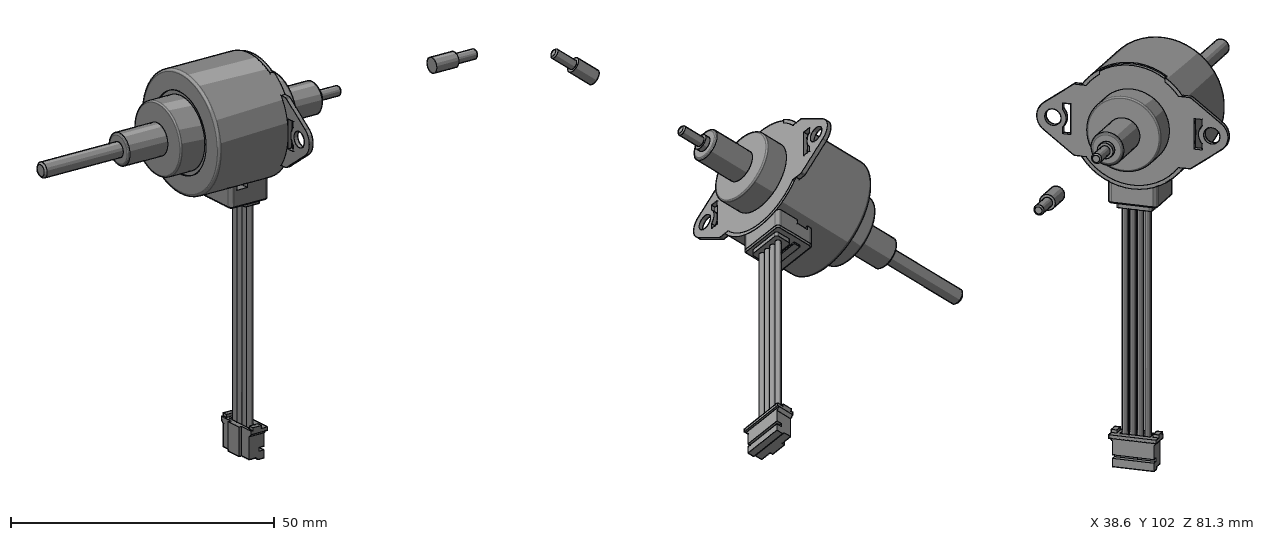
import cadquery as cq
import math


housing_radius = 25.0 / 2
housing_front = -17.1
housing_edge_fillet = 0.5
boss_radius = 15.0 / 2
rear_boss_end = 4.9
front_boss_end = -22.4
boss_edge_fillet = 0.3
bushing_radius = 6.6 / 2
bushing_length = 9.2
bushing_chamfer = 0.3
bushing_root_fillet = 0.4
recess_radius = 8.4
recess_depth = 0.3

plate_thickness = 0.9
plate_disc_radius = 11.7
tab_radius = 12.2
tab_half_width = 6.6
ear_hole_x = 16.0
ear_hole_radius = 1.6
ear_end_radius = 3.3
ear_half_height = 7.1
ear_slope = math.radians(36)
ear_corner_fillet = 0.5
window_inner_x = 12.4
window_outer_x = 14.1
window_half_height = 3.1
window_ring_radius = 2.7

shaft_radius = 3.2 / 2
shaft_front = -49.9
shaft_tip_radius = 1.0
shaft_tip_length = 5.0
shaft_rear = 20.1
shaft_front_chamfer = 0.4
shaft_tip_chamfer = 0.3
shaft_travel = 32.0
shaft_end_length = 10.2

block_half_width = 5.0
block_front = -9.0
block_bottom = -15.9
block_corner_fillet = 0.8
block_bottom_chamfer = 0.3
block_notch_front = -7.4
block_notch_rear = -5.0
block_notch_bottom = -12.3
outlet_half_width = 3.6
outlet_front = -4.5
outlet_rear = -0.9
outlet_bottom = -16.9
outlet_corner_fillet = 0.5
nub_front = -6.8
nub_rear = -5.4
nub_bottom = -16.3
wire_count = 4
wire_pitch = 1.5
wire_radius = 0.6
wire_y = -2.4

connector_top = -62.3
connector_bottom = -68.3
connector_half_width = 4.2
connector_front = -4.0
connector_rear = -0.5
flange_half_width = 4.8
flange_rear = -0.1
flange_edge_bottom = -63.0
flange_taper_bottom = -63.6
rib_half_width = 1.7
rib_front = -4.6
lip_front = -1.9
lip_bottom = housing_radius - 81.3
lip_taper = 0.4
latch_depth = 1.1
latch_bottom = -67.1
latch_top = -66.4
socket_half_width = 3.1
socket_front = -3.4
socket_rear = -1.5
socket_floor = -62.9
pad_inner_x = 3.7
pad_front = -3.6
pad_rear = -1.5
pad_top = -61.7


def box(x_range, y_range, z_range):
    """Box between pairs of opposite corner coordinates."""
    size = [high - low for low, high in (x_range, y_range, z_range)]
    return cq.Workplane("XY").box(*size, centered=False).translate((x_range[0], y_range[0], z_range[0]))


def rod(radius, y_start, y_end):
    """Cylinder on the motor axis."""
    return cq.Workplane("XZ", origin=(0, y_end, 0)).circle(radius).extrude(y_end - y_start)


def ear(side):
    """One mounting ear: rounded end, sloping sides, screw hole and window."""
    tangent_x = ear_hole_x + ear_end_radius * math.sin(ear_slope)
    tangent_z = ear_end_radius * math.cos(ear_slope)
    shoulder_x = tangent_x - (ear_half_height - tangent_z) / math.tan(ear_slope)
    root_x = math.sqrt(plate_disc_radius**2 - ear_half_height**2) - 1
    body = (
        cq.Workplane("XZ")
        .moveTo(side * root_x, ear_half_height)
        .lineTo(side * shoulder_x, ear_half_height)
        .lineTo(side * tangent_x, tangent_z)
        .threePointArc((side * (ear_hole_x + ear_end_radius), 0), (side * tangent_x, -tangent_z))
        .lineTo(side * shoulder_x, -ear_half_height)
        .lineTo(side * root_x, -ear_half_height)
        .close()
        .extrude(plate_thickness)
    )
    for end in (1, -1):
        corner = cq.NearestToPointSelector((side * shoulder_x, -plate_thickness / 2, end * ear_half_height))
        body = body.edges("|Y").edges(corner).fillet(ear_corner_fillet)
    hole_place = cq.Workplane("XZ").center(side * ear_hole_x, 0)
    window = (
        cq.Workplane("XZ")
        .center(side * (window_inner_x + window_outer_x) / 2, 0)
        .rect(window_outer_x - window_inner_x, 2 * window_half_height)
        .extrude(plate_thickness)
        .cut(hole_place.circle(window_ring_radius).extrude(plate_thickness))
    )
    return body.cut(window).cut(hole_place.circle(ear_hole_radius).extrude(plate_thickness))


def make_plate():
    """Disc with a tab at the top and two ears, open in the middle for the rear boss."""
    tab = rod(tab_radius, -plate_thickness, 0).intersect(
        box((-tab_half_width, tab_half_width), (-plate_thickness, 0), (0, tab_radius))
    )
    plate = rod(plate_disc_radius, -plate_thickness, 0).union(tab)
    for side in (1, -1):
        plate = plate.union(ear(side))
    return plate.cut(rod(boss_radius, -plate_thickness, 0))


def boss_with_bushing(boss_start, boss_end, direction):
    """Boss and guide bushing pointing along Y in the given direction."""
    bushing_end = boss_end + direction * bushing_length
    outer_face = ">Y" if direction > 0 else "<Y"
    boss = rod(boss_radius, *sorted((boss_start, boss_end)))
    boss = boss.faces(outer_face).edges().fillet(boss_edge_fillet)
    bushing = rod(bushing_radius, *sorted((boss_end, bushing_end)))
    bushing = bushing.faces(outer_face).edges().chamfer(bushing_chamfer)
    bushing_edges = boss.union(bushing).edges("%CIRCLE").edges(cq.selectors.RadiusNthSelector(1))
    root = cq.NearestToPointSelector((0, boss_end, 0))
    return bushing_edges.edges(root).fillet(bushing_root_fillet)


def make_housing(plate):
    """Motor can with a boss and bushing at each end, pocketed for the plate and bored for the shaft."""
    can = rod(housing_radius, housing_front, 0).faces("<Y").edges().fillet(housing_edge_fillet)
    can = can.cut(rod(recess_radius, housing_front, housing_front + recess_depth))
    tab_notch = box((-tab_half_width, tab_half_width), (-plate_thickness, 0), (tab_half_width, housing_radius))
    ear_notch = box(
        (-housing_radius, housing_radius), (-plate_thickness, 0), (-ear_half_height, ear_half_height)
    )
    can = can.cut(tab_notch).cut(ear_notch).cut(rod(plate_disc_radius, -plate_thickness, 0)).cut(plate)
    front = boss_with_bushing(housing_front + recess_depth, front_boss_end, -1)
    rear = boss_with_bushing(-plate_thickness, rear_boss_end, 1)
    return can.union(front).union(rear).cut(rod(shaft_radius, shaft_front, shaft_rear))


def stepped_rod(y_start, y_end):
    """Shaft length ending in a thinner, chamfered tip at its rear end."""
    step = y_end - shaft_tip_length
    tip = rod(shaft_tip_radius, step, y_end).faces(">Y").edges().chamfer(shaft_tip_chamfer)
    return rod(shaft_radius, y_start, step).union(tip)


def make_shaft():
    """Main shaft through the motor."""
    return stepped_rod(shaft_front, shaft_rear).faces("<Y").edges().chamfer(shaft_front_chamfer)


def make_shaft_end():
    """Separate shaft end, set one travel length behind the main shaft's rear end."""
    rear = shaft_rear + shaft_travel
    return stepped_rod(rear - shaft_end_length, rear)


def make_harness():
    """Terminal block under the housing with its wire outlet and lead wires."""
    block_width = (-block_half_width, block_half_width)
    block = box(block_width, (block_front, 0), (block_bottom, -housing_radius / 2))
    block = block.edges("|Z").fillet(block_corner_fillet).faces("<Z").edges().chamfer(block_bottom_chamfer)
    block = block.cut(rod(housing_radius, block_front, 0))
    block = block.cut(
        box(block_width, (block_notch_front, block_notch_rear), (block_notch_bottom, -housing_radius / 2))
    )
    outlet_width = (-outlet_half_width, outlet_half_width)
    outlet = box(outlet_width, (outlet_front, outlet_rear), (outlet_bottom, block_bottom))
    outlet = outlet.edges("|Z").fillet(outlet_corner_fillet)
    nub = box(outlet_width, (nub_front, nub_rear), (nub_bottom, block_bottom))
    harness = block.union(outlet).union(nub)
    for index in range(wire_count):
        wire_x = (index - (wire_count - 1) / 2) * wire_pitch
        wire = (
            cq.Workplane("XY", origin=(wire_x, wire_y, socket_floor))
            .circle(wire_radius)
            .extrude(outlet_bottom - socket_floor)
        )
        harness = harness.union(wire)
    return harness


def make_connector():
    """Plug body with a tapered flange, front rib, rear lip, latch groove, two top pads and a wire socket."""
    body_width = (-connector_half_width, connector_half_width)
    connector = box(body_width, (connector_front, connector_rear), (connector_bottom, connector_top))
    flange = box(
        (-flange_half_width, flange_half_width),
        (connector_front, flange_rear),
        (flange_edge_bottom, connector_top),
    )
    flange_taper = (
        cq.Workplane("XZ", origin=(0, connector_rear, 0))
        .moveTo(-flange_half_width, flange_edge_bottom)
        .lineTo(flange_half_width, flange_edge_bottom)
        .lineTo(connector_half_width, flange_taper_bottom)
        .lineTo(-connector_half_width, flange_taper_bottom)
        .close()
        .extrude(connector_rear - connector_front)
    )
    lip = (
        cq.Workplane("YZ", origin=(-connector_half_width, 0, 0))
        .moveTo(connector_rear, connector_bottom)
        .lineTo(lip_front - lip_taper, connector_bottom)
        .lineTo(lip_front, lip_bottom)
        .lineTo(connector_rear, lip_bottom)
        .close()
        .extrude(2 * connector_half_width)
    )
    rib = box((-rib_half_width, rib_half_width), (rib_front, connector_front), (connector_bottom, connector_top))
    connector = connector.union(flange).union(flange_taper).union(lip).union(rib)
    for inner_x, outer_x in ((pad_inner_x, flange_half_width), (-flange_half_width, -pad_inner_x)):
        connector = connector.union(box((inner_x, outer_x), (pad_front, pad_rear), (connector_top, pad_top)))
    latch = box(body_width, (connector_rear - latch_depth, connector_rear), (latch_bottom, latch_top))
    socket = box(
        (-socket_half_width, socket_half_width), (socket_front, socket_rear), (socket_floor, connector_top)
    )
    return connector.cut(latch).cut(socket)


plate = make_plate()
housing = make_housing(plate)
shaft = make_shaft()
shaft_end = make_shaft_end()
harness = make_harness()
connector = make_connector()

bodies = [housing, plate, shaft, shaft_end, harness, connector]
result = cq.Compound.makeCompound([body.solids().val() for body in bodies])